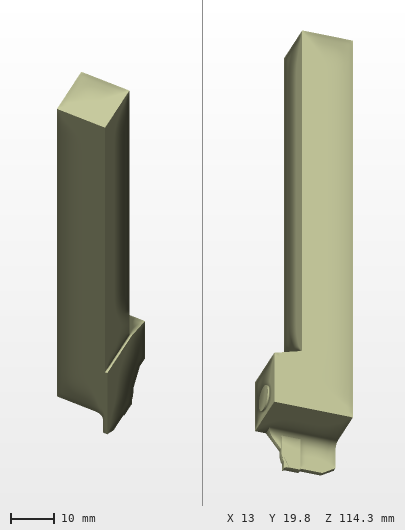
import cadquery as cq

total_height = 114.3
shank_side = 12.5
head_width = 13.0
head_depth = 19.3
head_bottom = 9.6
head_back_top = 23.2
head_top = 25.3
head_fillet_radius = 0.7

blade_thickness = 1.1
blade_bottom = 0.9
blade_back_top_y = 16.7
blade_back_bottom_y = 10.1
blade_front_chamfer_y = 3.2
blade_front_chamfer_top = 3.0
blade_root_radius = 1.8

boss_diameter = 6.2
boss_height = 19.8 - head_depth
boss_center_x = 6.2
boss_center_z = 14.4

insert_thickness = 1.5
insert_front_y = 8.7
insert_back_y = 13.4
insert_heel_z = 0.3
relief_top_z = 3.8
notch_y = 13.0
notch_top_z = 2.4
tip_y = 12.7
tip_top_z = 1.8
tip_land_y = 12.2
tip_facet_depth = 0.1
facet_top_z = 2.9
facet_bottom_y = 11.2

blade_x = head_width - blade_thickness
insert_x = head_width - insert_thickness


def extrude_along_x(outline, start_x, thickness):
    """Extrude a closed outline of (y, z) points toward +X."""
    return cq.Workplane("YZ", origin=(start_x, 0, 0)).polyline(outline).close().extrude(thickness)


def make_body():
    shank = cq.Workplane("XY", origin=(0, 0, head_bottom)).box(
        shank_side, shank_side, total_height - head_bottom, centered=False
    )
    head_outline = [
        (0, head_bottom),
        (head_depth, head_bottom),
        (head_depth, head_back_top),
        (shank_side, head_top),
        (0, head_top),
    ]
    body = shank.union(extrude_along_x(head_outline, 0, head_width))
    inner_corner = cq.NearestToPointSelector((shank_side / 2, shank_side, head_top))
    return body.edges(inner_corner).fillet(head_fillet_radius)


def make_blade():
    """Blade with its concave root, trimmed to the blade outline."""
    root_bottom = head_bottom - blade_root_radius
    arc_offset = blade_root_radius * 0.5 ** 0.5
    section = (
        cq.Workplane("XZ")
        .moveTo(head_width, 0)
        .lineTo(head_width, head_bottom)
        .lineTo(blade_x - blade_root_radius, head_bottom)
        .threePointArc(
            (blade_x - blade_root_radius + arc_offset, root_bottom + arc_offset),
            (blade_x, root_bottom),
        )
        .lineTo(blade_x, 0)
        .close()
        .extrude(-head_depth)
    )
    outline = [
        (0, head_bottom),
        (blade_back_top_y, head_bottom),
        (blade_back_bottom_y, blade_bottom),
        (blade_front_chamfer_y, blade_bottom),
        (0, blade_front_chamfer_top),
    ]
    return section.intersect(extrude_along_x(outline, 0, head_width))


def make_boss():
    return (
        cq.Workplane("XZ", origin=(boss_center_x, head_depth, boss_center_z))
        .circle(boss_diameter / 2)
        .extrude(-boss_height)
    )


def make_insert():
    outline = [
        (insert_front_y, head_bottom),
        (insert_back_y, head_bottom),
        (insert_back_y, relief_top_z),
        (notch_y, notch_top_z),
        (tip_y, tip_top_z),
        (tip_y, 0),
        (tip_land_y, insert_heel_z),
        (insert_front_y, insert_heel_z),
    ]
    facet = [(insert_back_y, facet_top_z), (insert_back_y, 0), (facet_bottom_y, 0), (tip_y, facet_top_z)]
    blank = extrude_along_x(outline, insert_x, insert_thickness)
    return blank.cut(extrude_along_x(facet, insert_x, tip_facet_depth))


def make_holder(insert):
    return make_body().union(make_blade()).union(make_boss()).cut(insert)


insert = make_insert()
holder = make_holder(insert)

result = cq.Compound.makeCompound([holder.val(), insert.val()])